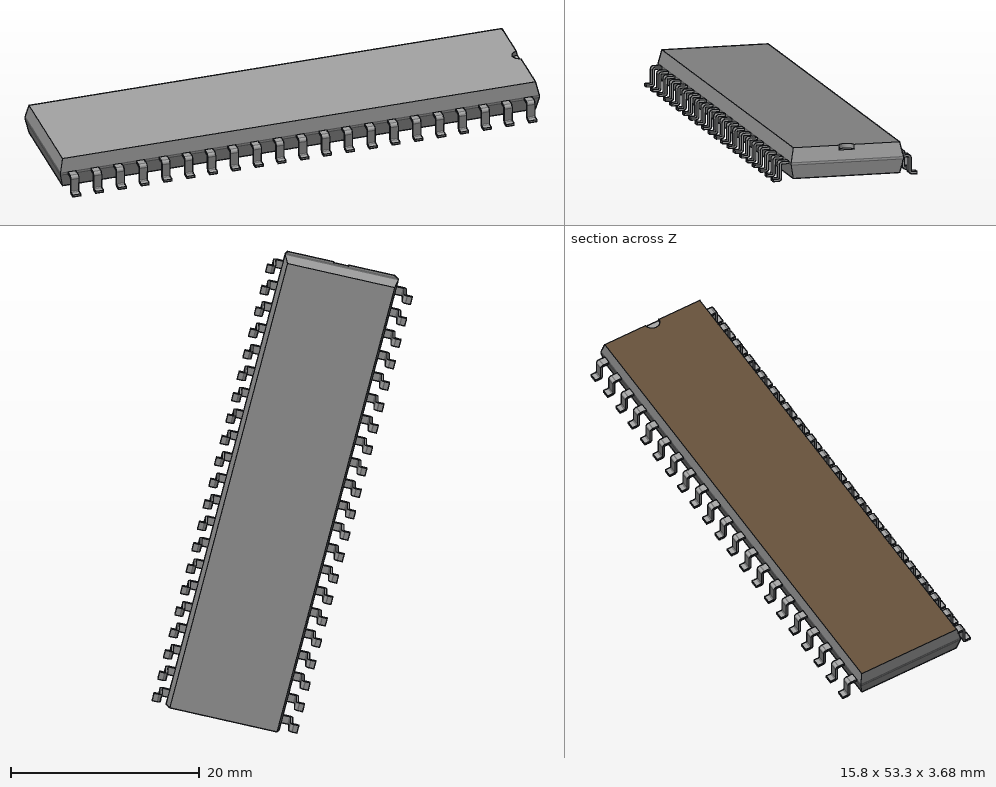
import cadquery as cq

OVERALL_WIDTH = 15.81
BODY_LENGTH = 53.34
BODY_WIDTH = 12.36
OVERALL_HEIGHT = 3.68
STANDOFF = 0.33
DRAFT_INSET = 0.33

LEAD_PITCH = 2.54
LEADS_PER_SIDE = 21
LEAD_WIDTH = 0.88
LEAD_THICKNESS = 0.25
FOOT_PROJECTION = 0.65
INNER_BEND_RADIUS = 0.1
OUTER_BEND_RADIUS = INNER_BEND_RADIUS + LEAD_THICKNESS
LEAD_EMBED = 1.0

BAND_MID_Z = (STANDOFF + OVERALL_HEIGHT) / 2
BAND_BOTTOM_Z = BAND_MID_Z - LEAD_THICKNESS / 2
BAND_TOP_Z = BAND_MID_Z + LEAD_THICKNESS / 2

NOTCH_RADIUS = 0.82
NOTCH_DEPTH = 0.5
NOTCH_CENTRE_OFFSET = 0.1


def drafted_half(parting_z, face_z):
    """Frustum tapering from the full body outline to a smaller flat face."""
    return (
        cq.Workplane("XY", origin=(0, 0, parting_z))
        .rect(BODY_WIDTH, BODY_LENGTH)
        .workplane(offset=face_z - parting_z)
        .rect(BODY_WIDTH - 2 * DRAFT_INSET, BODY_LENGTH - 2 * DRAFT_INSET)
        .loft(combine=True, ruled=True)
    )


def make_body():
    """Moulded body: a parting band between two drafted halves."""
    band = (
        cq.Workplane("XY", origin=(0, 0, BAND_BOTTOM_Z))
        .rect(BODY_WIDTH, BODY_LENGTH)
        .extrude(LEAD_THICKNESS)
    )
    upper = drafted_half(BAND_TOP_Z, OVERALL_HEIGHT)
    lower = drafted_half(BAND_BOTTOM_Z, STANDOFF)
    return band.union(upper).union(lower)


def cut_notch(body):
    """Shallow round notch in the top face at the +Y end."""
    notch_y = BODY_LENGTH / 2 - DRAFT_INSET + NOTCH_CENTRE_OFFSET
    notch = (
        cq.Workplane("XY", origin=(0, notch_y, OVERALL_HEIGHT - NOTCH_DEPTH))
        .circle(NOTCH_RADIUS)
        .extrude(NOTCH_DEPTH)
    )
    return body.cut(notch)


def make_right_lead():
    """Gull-wing lead on the +X side, centred on Y = 0."""
    root_x = BODY_WIDTH / 2 - LEAD_EMBED
    tip_x = OVERALL_WIDTH / 2
    leg_outer_x = tip_x - FOOT_PROJECTION
    leg_inner_x = leg_outer_x - LEAD_THICKNESS
    outline = (
        cq.Workplane("XZ", origin=(0, LEAD_WIDTH / 2, 0))
        .moveTo(root_x, BAND_TOP_Z)
        .lineTo(leg_outer_x - OUTER_BEND_RADIUS, BAND_TOP_Z)
        .radiusArc((leg_outer_x, BAND_TOP_Z - OUTER_BEND_RADIUS), OUTER_BEND_RADIUS)
        .lineTo(leg_outer_x, OUTER_BEND_RADIUS)
        .radiusArc((leg_outer_x + INNER_BEND_RADIUS, LEAD_THICKNESS), -INNER_BEND_RADIUS)
        .lineTo(tip_x, LEAD_THICKNESS)
        .lineTo(tip_x, 0)
        .lineTo(leg_inner_x + OUTER_BEND_RADIUS, 0)
        .radiusArc((leg_inner_x, OUTER_BEND_RADIUS), OUTER_BEND_RADIUS)
        .lineTo(leg_inner_x, BAND_BOTTOM_Z - INNER_BEND_RADIUS)
        .radiusArc((leg_inner_x - INNER_BEND_RADIUS, BAND_BOTTOM_Z), -INNER_BEND_RADIUS)
        .lineTo(root_x, BAND_BOTTOM_Z)
        .close()
    )
    return outline.extrude(LEAD_WIDTH)


def add_leads(body):
    """Fuse evenly spaced leads along both long sides."""
    right_lead = make_right_lead()
    left_lead = right_lead.mirror("YZ")
    first_y = -LEAD_PITCH * (LEADS_PER_SIDE - 1) / 2
    for index in range(LEADS_PER_SIDE):
        lead_y = first_y + index * LEAD_PITCH
        for lead in (right_lead, left_lead):
            body = body.union(lead.translate((0, lead_y, 0)))
    return body


result = add_leads(cut_notch(make_body()))